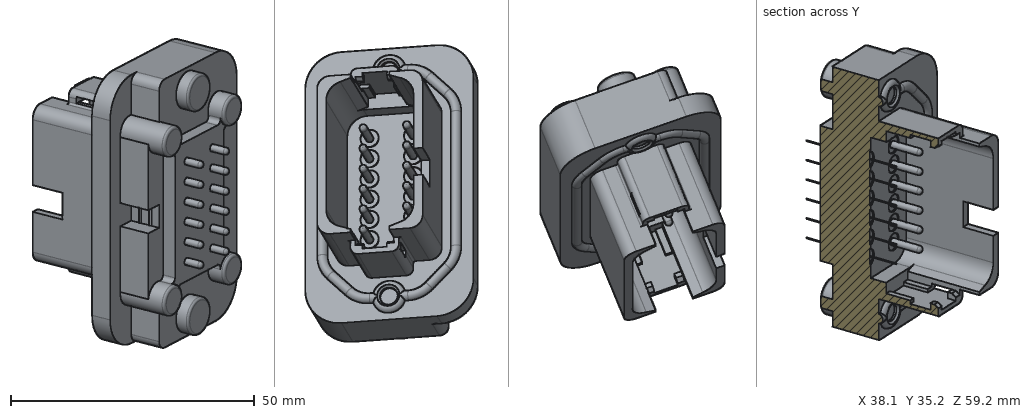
import cadquery as cq
import math


overall_length = 38.12

flange_width = 35.25
flange_height = 59.2
flange_thickness = 4.55
flange_corner_radius = 7.62
block_back = 11.55
block_side = 10.1
block_step_radius = 2.0
middle_side = 13.95
middle_half_height = 17.07

recess_height = 5.1
recess_depth = middle_side - block_side
ridge_height = 0.25
ridge_bounds = [(6.4, 7.05), (8.9, 9.65)]
ridge_crest_share = 0.5

foot_diameter = 6.6
foot_y = 10.66
foot_z = 17.52
foot_end = 15.55
disc_diameter = 8.1
disc_z = 24.66
rear_pad_end = 14.55
rear_pad_width = 17.4
rear_pad_height = 30.8
rear_pad_blend = 1.0
fit_margin = 0.1
foot_edge_radius = 0.6
disc_edge_radius = 0.5

shroud_start = -19.5
shroud_width = 22.1
shroud_height = 34.5
shroud_radius = 2.65
cavity_width = 18.34
cavity_height = 31.9
cavity_radius = 4.1
cavity_floor = 2.0
window_end = -12.05
window_top = 0.1
window_bottom = -5.77

hood_start = -14.7
hood_width = 10.15
hood_top = 20.27
hood_radius = 1.5
hood_foot_radius = 0.45
keyway_floor = -1.8
keyway_width = 8.1
keyway_shoulder = 18.4
keyway_neck_width = 5.1
keyway_top = 19.17
lip_half_width = 6.2
lip_top = 16.52
slot_start = -12.7
slot_end = -7.75
slot_bottom = 17.75
lug_ramp_length = 1.0

bead_radius = 1.1
bead_height = 1.0
bead_y = 14.0
bead_z = disc_z
bead_chamfer = 7.45
bead_bend_radius = 6.1
ring_radius = 2.4
ring_hole_diameter = 3.7
ring_rim_radius = 2.35

pin_diameter = 1.58
pin_pitch = 4.42
pin_rows = 6
pin_y = 4.56
pin_front = -5.0
pin_back = shroud_start + overall_length
pin_tip_radius = 0.77
pin_well_diameter = 3.8
pin_well_depth = 0.3


def bar(x_start, x_end, width, height, y=0, z=0):
    """Rectangular bar along X, centred on the given Y and Z."""
    return (
        cq.Workplane("YZ", origin=(x_start, y, z))
        .rect(width, height)
        .extrude(x_end - x_start)
    )


def rounded_bar(x_start, x_end, width, height, radius):
    """Rectangular bar along X with its four long edges rounded."""
    return bar(x_start, x_end, width, height).edges("|X").fillet(radius)


def rod(x_start, x_end, diameter, y, z):
    """Round rod along X."""
    return (
        cq.Workplane("YZ", origin=(x_start, y, z))
        .circle(diameter / 2)
        .extrude(x_end - x_start)
    )


def both_ends(shape):
    """The shape together with its mirror image below Z = 0."""
    return shape.union(shape.mirror("XY"))


def make_flange():
    outline = (flange_width, flange_height, flange_corner_radius)
    front_plate = rounded_bar(0, flange_thickness, *outline)
    block_width = flange_width / 2 + block_side
    step_y = (flange_width / 2 - block_side) / 2
    block_limit = bar(flange_thickness, block_back, block_width, flange_height, y=step_y)
    block_limit = block_limit.edges("|X and <Y").fillet(block_step_radius)
    block = rounded_bar(flange_thickness, block_back, *outline).intersect(block_limit)
    middle = bar(flange_thickness, block_back, middle_side, 2 * middle_half_height, y=-middle_side / 2)
    return front_plate.union(block).union(middle)


def make_snap_recess():
    recess_floor = recess_depth - middle_side
    recess = bar(flange_thickness, block_back, recess_depth, recess_height, y=recess_floor - recess_depth / 2)
    for start, end in ridge_bounds:
        crest = start + ridge_crest_share * (end - start)
        ridge = (
            cq.Workplane("XY", origin=(0, 0, -recess_height / 2))
            .moveTo(start, recess_floor)
            .lineTo(crest, recess_floor - ridge_height)
            .lineTo(end, recess_floor)
            .close()
            .extrude(recess_height)
        )
        recess = recess.cut(ridge)
    return recess


def make_rear_features():
    rear = bar(block_back, rear_pad_end, rear_pad_width, rear_pad_height)
    for y in (-foot_y, foot_y):
        for z in (-foot_z, foot_z):
            foot = rod(flange_thickness, foot_end, foot_diameter, y, z)
            rear = rear.union(foot.faces(">X").edges().fillet(foot_edge_radius))
    blend_limit = (rear_pad_end, rear_pad_width / 2 + fit_margin, rear_pad_height / 2 + fit_margin)
    blend_box = cq.selectors.BoxSelector([-limit for limit in blend_limit], blend_limit)
    rear = rear.edges("|X").edges(blend_box).fillet(rear_pad_blend)
    for z in (-disc_z, disc_z):
        disc = rod(flange_thickness, rear_pad_end, disc_diameter, 0, z)
        rear = rear.union(disc.faces(">X").edges().fillet(disc_edge_radius))
    return rear


def make_hood():
    """Upper latch hood, flared at its foot where it meets the shroud."""
    side = hood_width / 2
    base = shroud_height / 2
    flare = hood_foot_radius
    arc_share = math.sqrt(0.5)
    return (
        cq.Workplane("YZ", origin=(hood_start, 0, 0))
        .moveTo(-side - flare, base)
        .threePointArc(
            (-side - flare + flare * arc_share, base + flare - flare * arc_share),
            (-side, base + flare),
        )
        .lineTo(-side, hood_top - hood_radius)
        .threePointArc(
            (-side + hood_radius * (1 - arc_share), hood_top - hood_radius * (1 - arc_share)),
            (-side + hood_radius, hood_top),
        )
        .lineTo(0, hood_top)
        .lineTo(0, base)
        .close()
        .extrude(-hood_start)
    )


def make_keyway():
    """Upper keyway: a stepped channel through the shroud wall and under the hood."""
    shoulder = bar(shroud_start, keyway_floor, keyway_width, keyway_shoulder, z=keyway_shoulder / 2)
    neck = bar(shroud_start, keyway_floor, keyway_neck_width, keyway_top, z=keyway_top / 2)
    corner_y = cavity_width / 2 - cavity_radius
    corner_z = cavity_height / 2 - cavity_radius
    lip_base = corner_z + math.sqrt(cavity_radius**2 - (lip_half_width - corner_y) ** 2)
    lip = (
        cq.Workplane("YZ", origin=(shroud_start, 0, 0))
        .moveTo(-lip_half_width, 0)
        .lineTo(-lip_half_width, lip_base)
        .lineTo(-keyway_width / 2, lip_top)
        .lineTo(keyway_width / 2, lip_top)
        .lineTo(lip_half_width, lip_base)
        .lineTo(lip_half_width, 0)
        .close()
        .extrude(keyway_floor - shroud_start)
    )
    return shoulder.union(neck).union(lip)


def make_lugs():
    """Ramped lugs on both sides of the upper hood mouth, ending at the latch slot."""
    profile = (
        cq.Workplane("XZ")
        .moveTo(hood_start, keyway_shoulder)
        .lineTo(hood_start + lug_ramp_length, slot_bottom)
        .lineTo(slot_start, slot_bottom)
        .lineTo(slot_start, keyway_shoulder)
        .close()
        .extrude(keyway_width / 2, both=True)
    )
    return profile.cut(bar(hood_start, slot_start, keyway_neck_width, 2 * keyway_top))


def make_slot():
    """Latch slot through both side walls of the upper hood."""
    slot_height = keyway_top - slot_bottom
    slot_centre = (keyway_top + slot_bottom) / 2
    return bar(slot_start, slot_end, 2 * hood_width, slot_height, z=slot_centre)


def make_bead():
    """Rounded bead around the shroud: a chamfered loop with rounded bends, plus two vent rings."""
    bead_x = bead_radius - bead_height
    path = (
        bar(bead_x, flange_thickness, 2 * bead_y, 2 * bead_z)
        .edges("|X")
        .chamfer(bead_chamfer)
        .edges("|X")
        .fillet(bead_bend_radius)
        .faces("<X")
        .wires()
    )
    loop = (
        cq.Workplane("XY", origin=(bead_x, bead_y, 0))
        .circle(bead_radius)
        .sweep(path)
    )
    for z_side in (-1, 1):
        ring = cq.Solid.makeTorus(
            ring_radius, bead_radius, cq.Vector(bead_x, 0, z_side * disc_z), cq.Vector(1, 0, 0)
        )
        loop = loop.union(cq.Workplane(ring))
    return loop


def make_vent_hole(z):
    """Recess through one vent ring down to the flange face, with a flared rim."""
    hole_radius = ring_hole_diameter / 2
    flare = ring_rim_radius - hole_radius
    hole = rod(-2 * bead_height, 0, ring_hole_diameter, 0, z)
    rim = (
        cq.Workplane("YZ", origin=(-bead_height, 0, z))
        .circle(ring_rim_radius)
        .workplane(offset=flare)
        .circle(hole_radius)
        .loft()
    )
    mouth = rod(-2 * bead_height, -bead_height, 2 * ring_rim_radius, 0, z)
    return hole.union(rim).union(mouth)


def make_pin(y, z):
    return rod(pin_front, pin_back, pin_diameter, y, z).edges("%CIRCLE").fillet(pin_tip_radius)


pin_places = [
    (y_side * pin_y, (row - (pin_rows - 1) / 2) * pin_pitch)
    for y_side in (-1, 1)
    for row in range(pin_rows)
]

result = make_flange().cut(make_snap_recess()).union(make_rear_features())
result = result.union(make_bead())
for end in (-1, 1):
    result = result.cut(make_vent_hole(end * disc_z))
hood = make_hood()
hoods = both_ends(hood.union(hood.mirror("XZ")))
result = result.union(rounded_bar(shroud_start, 0, shroud_width, shroud_height, shroud_radius))
result = result.union(hoods)

result = result.cut(rounded_bar(shroud_start, cavity_floor, cavity_width, cavity_height, cavity_radius))
result = result.cut(both_ends(make_keyway()))
result = result.union(both_ends(make_lugs()))
result = result.cut(both_ends(make_slot()))
window_depth = (shroud_width - cavity_width) / 2
result = result.cut(
    bar(
        shroud_start,
        window_end,
        window_depth,
        window_top - window_bottom,
        y=-(shroud_width - window_depth) / 2,
        z=(window_top + window_bottom) / 2,
    )
)

for y, z in pin_places:
    result = result.cut(rod(cavity_floor, cavity_floor + pin_well_depth, pin_well_diameter, y, z))
    result = result.union(make_pin(y, z))